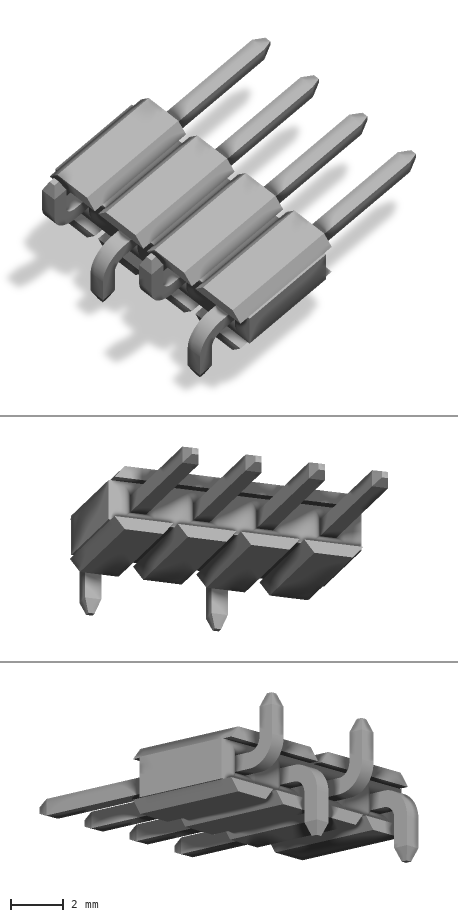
import cadquery as cq
import math

PIN_COUNT = 4
ROW_LENGTH = 10.16
PITCH = ROW_LENGTH / PIN_COUNT
PIN_CENTERS = [(i - (PIN_COUNT - 1) / 2) * PITCH for i in range(PIN_COUNT)]

HALF_DEPTH = 2.5
WEB_HALF_DEPTH = 2.09
HOUSING_HEIGHT = 2.55
WEB_HEIGHT = 1.58
CAP_BASE_WIDTH = 2.36
CAP_TOP_WIDTH = 1.55
HOLE_EDGE_RADIUS = 0.3

PIN_WIDTH = 0.65
PIN_LENGTH = 12.0
FRONT_REACH = 3.8
LEG_REACH = 5.08 / 2
BEND_INNER_RADIUS = 0.52
BEND_RADIUS = BEND_INNER_RADIUS + PIN_WIDTH / 2
TIP_LENGTH = 0.53
TIP_END_WIDTH = 0.25
TIP_ANGLE = math.degrees(math.atan((PIN_WIDTH - TIP_END_WIDTH) / 2 / TIP_LENGTH))


def make_cap(x, side):
    """Trapezoidal cap centred on x, above the web (side = 1) or below it (side = -1)."""
    base_z = side * WEB_HEIGHT / 2
    outer_z = side * HOUSING_HEIGHT / 2
    outline = [
        (x - CAP_BASE_WIDTH / 2, base_z),
        (x + CAP_BASE_WIDTH / 2, base_z),
        (x + CAP_TOP_WIDTH / 2, outer_z),
        (x - CAP_TOP_WIDTH / 2, outer_z),
    ]
    return cq.Workplane("XZ").polyline(outline).close().extrude(HALF_DEPTH)


def make_housing_half():
    """Front half of the housing, reaching from the joint at Y = 0 toward -Y."""
    web = cq.Workplane("XZ").rect(ROW_LENGTH, WEB_HEIGHT).extrude(WEB_HALF_DEPTH)

    holes = cq.Workplane("XZ").pushPoints([(x, 0) for x in PIN_CENTERS])
    web = web.cut(holes.rect(PIN_WIDTH, PIN_WIDTH).extrude(WEB_HALF_DEPTH))
    hole_zone = cq.selectors.BoxSelector(
        (-ROW_LENGTH / 2 + HOLE_EDGE_RADIUS, -WEB_HALF_DEPTH - HOLE_EDGE_RADIUS, -PIN_WIDTH),
        (ROW_LENGTH / 2 - HOLE_EDGE_RADIUS, -WEB_HALF_DEPTH + HOLE_EDGE_RADIUS, PIN_WIDTH),
    )
    web = web.edges(hole_zone).fillet(HOLE_EDGE_RADIUS)

    half = web
    for x in PIN_CENTERS:
        for side in (1, -1):
            half = half.union(make_cap(x, side))
    return half.solids()


def make_pin(x, leg_side):
    """Bent pin at x, its leg pointing up (leg_side = 1) or down (leg_side = -1)."""
    leg_y = -FRONT_REACH + PIN_WIDTH / 2
    bend_start_y = leg_y + BEND_RADIUS
    rear_y = PIN_LENGTH - FRONT_REACH - TIP_LENGTH
    leg_end_z = leg_side * (LEG_REACH - TIP_LENGTH)
    bend_end_z = leg_side * BEND_RADIUS
    bend_mid_offset = BEND_RADIUS * (1 - math.sqrt(0.5))

    axis = (
        cq.Workplane("YZ", origin=(x, 0, 0))
        .moveTo(rear_y, 0)
        .lineTo(bend_start_y, 0)
        .threePointArc((leg_y + bend_mid_offset, leg_side * bend_mid_offset), (leg_y, bend_end_z))
        .lineTo(leg_y, leg_end_z)
    )
    rear_section = cq.Plane(origin=(x, rear_y, 0), xDir=(1, 0, 0), normal=(0, 1, 0))
    leg_section = cq.Plane(origin=(x, leg_y, leg_end_z), xDir=(1, 0, 0), normal=(0, 0, leg_side))

    pin = cq.Workplane(rear_section).rect(PIN_WIDTH, PIN_WIDTH).sweep(axis, clean=False)
    for section in (rear_section, leg_section):
        tip = cq.Workplane(section).rect(PIN_WIDTH, PIN_WIDTH).extrude(TIP_LENGTH, taper=TIP_ANGLE)
        pin = pin.union(tip, clean=False)
    return pin.solids()


front_housing = make_housing_half()
rear_housing = front_housing.mirror("XZ")
pins = [make_pin(x, 1 if i % 2 == 0 else -1) for i, x in enumerate(PIN_CENTERS)]

result = cq.Compound.makeCompound(
    [front_housing.val(), rear_housing.val(), *[pin.val() for pin in pins]]
)